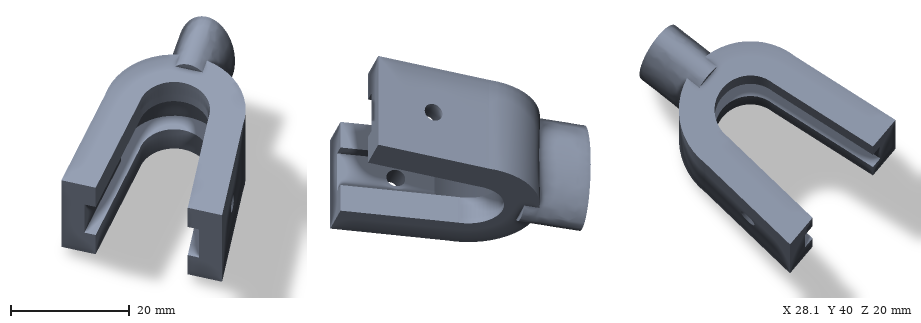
import cadquery as cq

body_height = 17.5
arc_center_y = 20.0
outer_radius = 12.05
inner_radius = 6.05
leg_splay = 2.0

groove_height = 7.4
groove_depth = 1.95
groove_arc_radius = 9.0

pin_diameter = 3.2
pin_y = arc_center_y / 2

stem_width = 10.0
stem_height = 20.0
stem_start_y = 29.1
stem_end_y = 40.0


def u_prism(radius, height):
    """Round-topped U profile with splayed sides, centred on Z = 0."""
    tip_x = radius + leg_splay
    return (
        cq.Workplane("XY")
        .workplane(offset=-height / 2)
        .moveTo(-tip_x, 0)
        .lineTo(-radius, arc_center_y)
        .threePointArc((0, arc_center_y + radius), (radius, arc_center_y))
        .lineTo(tip_x, 0)
        .close()
        .extrude(height)
    )


def make_groove():
    """Shallow channel in the legs that opens into a round recess."""
    channel = u_prism(inner_radius + groove_depth, groove_height)
    recess = (
        cq.Workplane("XY")
        .workplane(offset=-groove_height / 2)
        .center(0, arc_center_y)
        .circle(groove_arc_radius)
        .extrude(groove_height)
    )
    return channel.union(recess)


def make_stem():
    """Solid elliptical stem along +Y."""
    return (
        cq.Workplane("XZ", origin=(0, stem_end_y, 0))
        .ellipse(stem_width / 2, stem_height / 2)
        .extrude(stem_end_y - stem_start_y)
    )


def make_pin_holes():
    """Cylinder along X that crosses both legs."""
    half_length = outer_radius + leg_splay
    return (
        cq.Workplane("YZ")
        .center(pin_y, 0)
        .circle(pin_diameter / 2)
        .extrude(half_length, both=True)
    )


fork = u_prism(outer_radius, body_height).cut(u_prism(inner_radius, body_height))
result = fork.union(make_stem()).cut(make_groove()).cut(make_pin_holes())